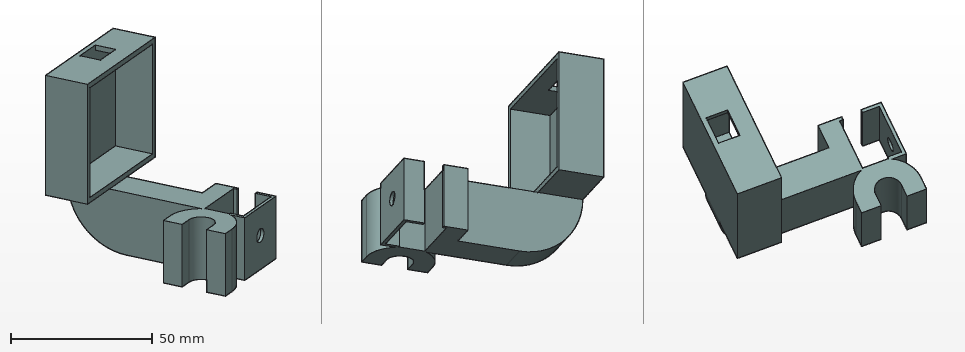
import cadquery as cq

housing_depth = 17.0
housing_width = 49.5
total_height = 70.0
housing_wall = 2.0
window_depth = 8.2
window_width = 11.2
window_y = 21.7

arm_height = 24.0
arm_front = 16.0
arm_back = 29.0

bracket_start = 47.5
bracket_end = 71.8
bracket_back = 38.9
bracket_wall = 1.3
channel_start = 55.25
channel_front = 17.4
channel_recess = 0.65
lip_start = 56.65
lip_end = 64.1
screw_diameter = 5.1
screw_y = (arm_front + bracket_back) / 2
screw_height = 13.1

clip_outer_radius = 12.5
clip_inner_radius = 4.95
clip_end = 72.8
clip_centre_x = clip_end - clip_outer_radius
clip_centre_y = 5.0


def block(x0, x1, y0, y1, z0, z1):
    """Axis-aligned box between two opposite corners."""
    return cq.Workplane("XY").box(x1 - x0, y1 - y0, z1 - z0, centered=False).translate((x0, y0, z0))


def upright(x0, x1, y0, y1):
    """Box as tall as the arm."""
    return block(x0, x1, y0, y1, 0, arm_height)


def round_ended(radius):
    """Half-round prism with straight sides running down to Y = 0."""
    return (
        cq.Workplane("XY")
        .moveTo(clip_centre_x - radius, 0)
        .lineTo(clip_centre_x - radius, clip_centre_y)
        .threePointArc(
            (clip_centre_x, clip_centre_y + radius),
            (clip_centre_x + radius, clip_centre_y),
        )
        .lineTo(clip_centre_x + radius, 0)
        .close()
        .extrude(arm_height)
    )


def make_housing():
    shell = block(0, housing_depth, 0, housing_width, arm_height, total_height)
    cavity = block(
        housing_wall, housing_depth,
        housing_wall, housing_width - housing_wall,
        arm_height + housing_wall, total_height - housing_wall,
    )
    window = block(
        housing_wall, housing_wall + window_depth,
        window_y, window_y + window_width,
        total_height - housing_wall, total_height,
    )
    return shell.cut(cavity).cut(window)


def make_arm():
    return (
        cq.Workplane("XZ", origin=(0, arm_back, 0))
        .moveTo(0, arm_height)
        .radiusArc((arm_height, 0), -arm_height)
        .lineTo(bracket_end, 0)
        .lineTo(bracket_end, arm_height)
        .close()
        .extrude(arm_back - arm_front)
    )


def make_channel():
    channel_back = bracket_back - bracket_wall
    channel = upright(channel_start, bracket_end - bracket_wall, channel_front, channel_back)
    mouth = upright(lip_start, lip_end, channel_back, bracket_back)
    recess = upright(
        channel_start, clip_centre_x + clip_inner_radius,
        channel_front - channel_recess, channel_front,
    )
    return channel.union(mouth).union(recess)


def make_screw_hole():
    return (
        cq.Workplane("YZ", origin=(bracket_end - bracket_wall, screw_y, screw_height))
        .circle(screw_diameter / 2)
        .extrude(bracket_wall)
    )


bracket = upright(bracket_start, bracket_end, arm_front, bracket_back)
clip = round_ended(clip_outer_radius)

result = (
    make_housing()
    .union(make_arm())
    .union(bracket)
    .union(clip)
    .cut(make_channel())
    .cut(round_ended(clip_inner_radius))
    .cut(make_screw_hole())
)